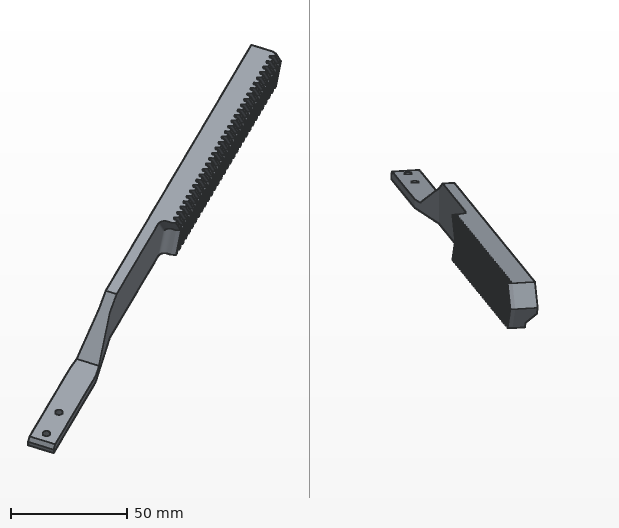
import cadquery as cq
import math

length = 245.0
width = 14.0
height = 20.0
tip_y = length / 2
handle_end_y = -length / 2
mid_z = height / 2

teeth = 32
rack_length = 111.0
root_gap = 0.7
tooth_depth = 2.0
pressure_angle = math.radians(20)
helix_angle = math.radians(28.5)
pitch = (rack_length + root_gap) / teeth
tooth_root = pitch - root_gap
flank_run = tooth_depth * math.tan(pressure_angle)
helix_shift = mid_z * math.tan(helix_angle)
tooth_tip_x = width / 2
root_x = tooth_tip_x - tooth_depth

neck_width = 5.1
neck_left_x = -5.0
neck_right_x = neck_left_x + neck_width
heel_fillet = 3.0
heel_apex_y = tip_y - rack_length
ramp_top_y = -42.5
ramp_angle = math.radians(30)
taper_start_y = -49.7
taper_end_y = -76.5

handle_width = 12.0
handle_thickness = 4.0
handle_left_x = -width / 2
handle_right_x = handle_left_x + handle_width
end_chamfer = 1.7
hole_diameter = 3.2
hole_x = handle_left_x + handle_width / 2
hole_ys = (-102.7, -116.5)

relief_depth = 4.5
relief_top_z = 6.9
relief_ledge_z = 2.5
relief_end_y = 12.0


def rack_outline():
    """Blade outline at mid height, where the teeth reach furthest toward +Y."""
    fillet_start_y = heel_apex_y - heel_fillet
    bend = heel_fillet * (1 - math.sqrt(0.5))
    outline = (
        cq.Workplane("XY")
        .workplane(offset=mid_z)
        .moveTo(neck_left_x, tip_y)
        .lineTo(neck_left_x, fillet_start_y)
        .lineTo(neck_right_x, fillet_start_y)
        .threePointArc(
            (neck_right_x + bend, heel_apex_y - bend),
            (neck_right_x + heel_fillet, heel_apex_y),
        )
    )
    for index in range(teeth):
        start_y = heel_apex_y + index * pitch
        end_y = start_y + tooth_root
        outline = (
            outline.lineTo(root_x, start_y)
            .lineTo(tooth_tip_x, start_y + flank_run)
            .lineTo(tooth_tip_x, end_y - flank_run)
            .lineTo(root_x, end_y)
        )
    return outline.close().wire().val()


def blade():
    """Two oblique prisms that lean back toward -Y above and below mid height."""
    outline = rack_outline()
    halves = [
        cq.Solid.extrudeLinear(outline, [], cq.Vector(0, -helix_shift, rise))
        for rise in (mid_z, -mid_z)
    ]
    return cq.Workplane(halves[0]).union(cq.Workplane(halves[1]))


def blade_relief():
    """Undercut with a sloping roof along the lower -X edge of the blade."""
    return (
        cq.Workplane("XZ", origin=(0, relief_end_y, 0))
        .moveTo(neck_left_x, 0)
        .lineTo(neck_left_x, relief_top_z)
        .lineTo(neck_left_x + relief_depth, relief_ledge_z)
        .lineTo(neck_left_x + relief_depth, 0)
        .close()
        .extrude(relief_end_y - tip_y)
    )


def neck_and_handle():
    """Side profile with the ramp, trimmed to the tapering plan outline."""
    ramp_bottom_y = ramp_top_y - (height - handle_thickness) / math.tan(ramp_angle)
    side = (
        cq.Workplane("YZ", origin=(handle_left_x, 0, 0))
        .moveTo(handle_end_y, 0)
        .lineTo(handle_end_y, handle_thickness - end_chamfer)
        .lineTo(handle_end_y + end_chamfer, handle_thickness)
        .lineTo(ramp_bottom_y, handle_thickness)
        .lineTo(ramp_top_y, height)
        .lineTo(heel_apex_y, height)
        .lineTo(heel_apex_y, 0)
        .close()
        .extrude(width)
    )
    plan = (
        cq.Workplane("XY")
        .moveTo(handle_left_x, handle_end_y)
        .lineTo(handle_right_x, handle_end_y)
        .lineTo(handle_right_x, taper_end_y)
        .lineTo(neck_right_x, taper_start_y)
        .lineTo(neck_right_x, heel_apex_y)
        .lineTo(neck_left_x, heel_apex_y)
        .lineTo(neck_left_x, taper_start_y)
        .lineTo(handle_left_x, taper_end_y)
        .close()
        .extrude(height)
    )
    return side.intersect(plan)


def handle_holes():
    """Mounting holes through the flat handle."""
    return (
        cq.Workplane("XY")
        .pushPoints([(hole_x, y) for y in hole_ys])
        .circle(hole_diameter / 2)
        .extrude(handle_thickness)
    )


result = blade().union(neck_and_handle()).cut(blade_relief()).cut(handle_holes())